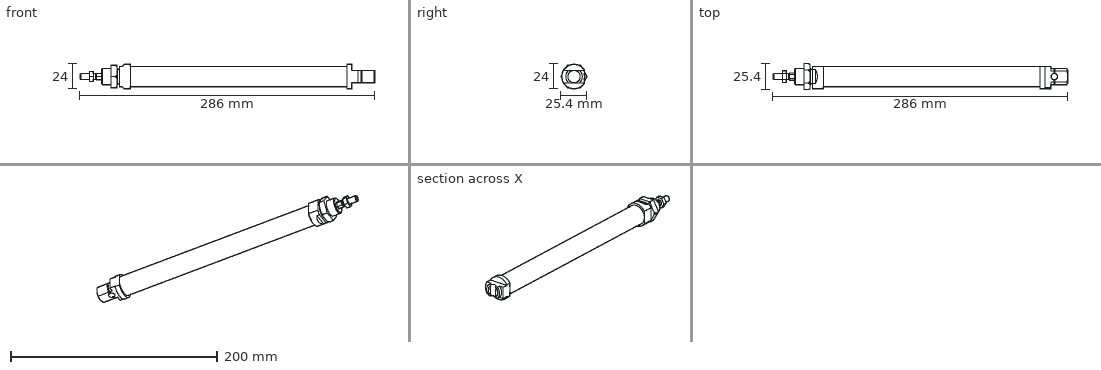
import cadquery as cq
import math

total_length = 286.0
front_end = -total_length / 2
rear_end = total_length / 2

thread_diameter = 6.0
thread_length = 15.0
tip_diameter = 5.0
tip_chamfer_length = 0.5
neck_diameter = 5.0
neck_length = 1.0
shank_flats = 6.3
shank_depth_in_head = 3.0

rod_nut_start = 9.0
rod_nut_length = 4.0
rod_nut_flats = 10.0

collar_start = 21.0
collar_diameter = 16.0
collar_chamfer = 1.0
undercut_diameter = 14.3
undercut_length = 2.0
flange_start = 38.0
flange_length = 10.5
flange_diameter = 24.0
wrench_flats = 20.0
wrench_flat_length = 3.0

side_flat_offset = 10.0

collar_nut_start = 29.7
collar_nut_length = 6.0
collar_nut_flats = 22.0
collar_nut_chamfer_length = 1.0

barrel_diameter = 20.0

rear_flange_start = 258.8
rear_flange_length = 10.5
disc_length = 5.0
boss_diameter = collar_diameter
boss_chamfer_length = 2.0
boss_end_diameter = 14.0
groove_start = 272.5
groove_width = 1.0
groove_diameter = 12.0
tongue_thickness = 12.0
eye_diameter = 6.0
eye_position = 272.8


def cylinder(start, length, diameter):
    """Cylinder along X whose near face lies `start` behind the rod tip."""
    plane = cq.Workplane("YZ", origin=(front_end + start, 0, 0))
    return plane.circle(diameter / 2).extrude(length)


def hexagon(start, length, flats):
    """Hexagonal prism along X with two faces level and two corners at the sides."""
    plane = cq.Workplane("YZ", origin=(front_end + start, 0, 0))
    return plane.polygon(6, flats / math.cos(math.pi / 6)).extrude(length)


def make_flange(start, length):
    """Round flange with a flat along its +Y side."""
    flange = cylinder(start, length, flange_diameter)
    return flange.intersect(
        cq.Workplane("XY")
        .box(length, flange_diameter, flange_diameter)
        .translate((front_end + start + length / 2, side_flat_offset - flange_diameter / 2, 0))
    )


def make_rod():
    shank_start = thread_length + neck_length
    shank_length = collar_start + shank_depth_in_head - shank_start
    rod = cylinder(0, thread_length, thread_diameter)
    rod = rod.faces("<X").chamfer((thread_diameter - tip_diameter) / 2, tip_chamfer_length)
    rod = rod.union(cylinder(thread_length, neck_length, neck_diameter))
    return rod.union(hexagon(shank_start, shank_length, shank_flats))


def make_rod_nut():
    nut = hexagon(rod_nut_start, rod_nut_length, rod_nut_flats)
    return nut.cut(cylinder(rod_nut_start, rod_nut_length, thread_diameter))


def make_wrench_notch(side):
    """Cutter for one wrench flat, ending in a 45 degree slope; side is 1 for +Z and -1 for -Z."""
    flat_height = wrench_flats / 2
    rim_height = flange_diameter / 2
    flat_start = front_end + flange_start
    flat_end = flat_start + wrench_flat_length
    slope_end = flat_end + rim_height - flat_height
    return (
        cq.Workplane("XZ")
        .moveTo(flat_start, side * flat_height)
        .lineTo(flat_end, side * flat_height)
        .lineTo(slope_end, side * rim_height)
        .lineTo(flat_start, side * rim_height)
        .close()
        .extrude(flange_diameter / 2, both=True)
    )


def make_front_head():
    undercut_start = flange_start - undercut_length
    head = cylinder(collar_start, undercut_start - collar_start, collar_diameter)
    head = head.faces("<X").chamfer(collar_chamfer)
    head = head.union(cylinder(undercut_start, undercut_length, undercut_diameter))
    head = head.union(make_flange(flange_start, flange_length))
    for side in (1, -1):
        head = head.cut(make_wrench_notch(side))
    return head.cut(hexagon(collar_start, shank_depth_in_head, shank_flats))


def make_collar_nut():
    nut = hexagon(collar_nut_start, collar_nut_length, collar_nut_flats)
    corner_diameter = collar_nut_flats / math.cos(math.pi / 6)
    blank = cylinder(collar_nut_start, collar_nut_length, corner_diameter)
    blank = blank.faces(">X").chamfer((corner_diameter - collar_nut_flats) / 2, collar_nut_chamfer_length)
    bore = cylinder(collar_nut_start, collar_nut_length, collar_diameter)
    return nut.intersect(blank).cut(bore)


def make_barrel():
    start = flange_start + flange_length
    return cylinder(start, rear_flange_start - start, barrel_diameter)


def make_tongue_envelope():
    """Space left after milling: the full disc next to the barrel, then a level slab."""
    tongue_start = front_end + rear_flange_start + disc_length
    tongue_length = rear_end - tongue_start
    slab = cq.Workplane("XY").box(tongue_length, flange_diameter, tongue_thickness)
    slab = slab.translate((tongue_start + tongue_length / 2, 0, 0))
    return slab.union(cylinder(rear_flange_start, disc_length, flange_diameter))


def make_eye():
    eye = cq.Workplane("XY").center(front_end + eye_position, 0).circle(eye_diameter / 2)
    return eye.extrude(tongue_thickness, both=True)


def make_rear_head():
    boss_start = rear_flange_start + rear_flange_length
    head = cylinder(boss_start, total_length - boss_start, boss_diameter)
    head = head.faces(">X").chamfer((boss_diameter - boss_end_diameter) / 2, boss_chamfer_length)
    groove_core = cylinder(groove_start, groove_width, groove_diameter)
    head = head.cut(cylinder(groove_start, groove_width, boss_diameter).cut(groove_core))
    head = head.union(make_flange(rear_flange_start, rear_flange_length))
    return head.intersect(make_tongue_envelope()).cut(make_eye())


rod = make_rod()
rod_nut = make_rod_nut()
front_head = make_front_head()
collar_nut = make_collar_nut()
barrel = make_barrel()
rear_head = make_rear_head()

result = cq.Compound.makeCompound(
    [rod.val(), rod_nut.val(), front_head.val(), collar_nut.val(), barrel.val(), rear_head.val()]
)